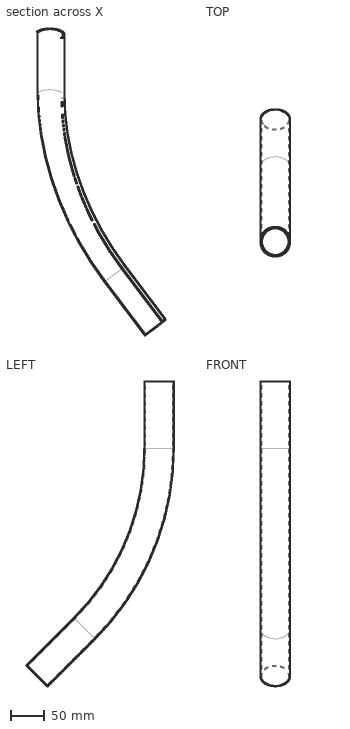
import cadquery as cq
import math

outer_diameter = 44.5
inner_diameter = 40.5
total_height = 458.5
leg_length = 101.0
bend_angle = math.radians(45)

tilted_reach = (leg_length + outer_diameter / 2) * math.sin(bend_angle)
bend_radius = (total_height - leg_length - tilted_reach) / math.sin(bend_angle)


def bend_point(angle):
    """Point on the bend centreline, as (Y, Z), from the end of the vertical leg."""
    return (bend_radius * (1 - math.cos(angle)), -bend_radius * math.sin(angle))


bend_end = bend_point(bend_angle)
lower_end = (
    bend_end[0] + leg_length * math.sin(bend_angle),
    bend_end[1] - leg_length * math.cos(bend_angle),
)
centreline = (
    cq.Workplane("YZ")
    .moveTo(0, leg_length)
    .lineTo(0, 0)
    .threePointArc(bend_point(bend_angle / 2), bend_end)
    .lineTo(*lower_end)
)

result = (
    cq.Workplane("XY", origin=(0, 0, leg_length))
    .circle(outer_diameter / 2)
    .circle(inner_diameter / 2)
    .sweep(centreline)
)